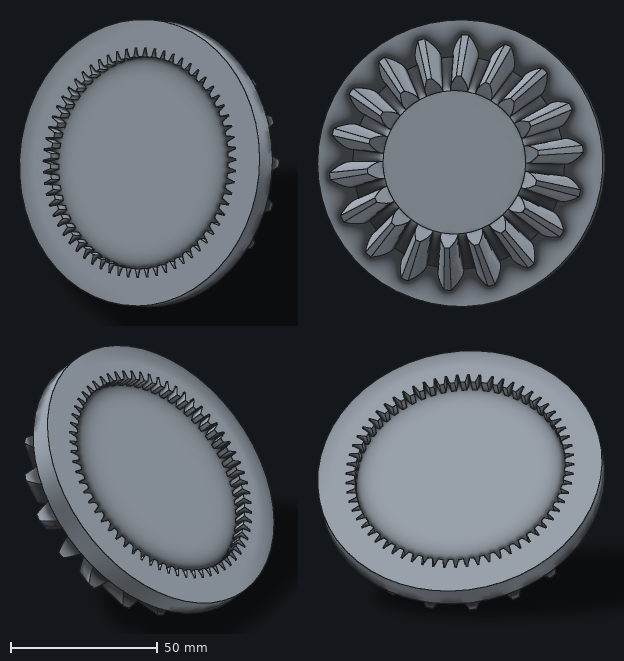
import cadquery as cq
import math

SIDE_TILT = 1.2
FRONT_TILT = 45.0

OVERALL_WIDTH = 98.15
DISC_THICKNESS = 8.0
RING_NOTCHES = 63
RING_PITCH_ANGLE = 5.7
RING_FIRST_NOTCH = 88.5
RING_TIP_RADIUS = 36.2
RING_ROOT_RADIUS = 39.3
RING_DEPTH = 5.1
NOTCH_MOUTH_WIDTH = 2.0
NOTCH_ROOT_WIDTH = 0.5

GEAR_TEETH = 18
GEAR_PHASE = 1.2
PITCH_CONE_ANGLE = math.radians(45)
PITCH_RADIUS = 39.75
APEX_DEPTH = 56.0
ADDENDUM = 5.6
DEDENDUM = 4.8
FACE_WIDTH = 18.4
PRESSURE_ANGLE = math.radians(20)
GAP_NARROWING = 0.34
FLANK_POINTS = 6
GAP_OVERRUN = 0.1
GAP_CLEARANCE = 1.7

TILT_ANGLE = math.radians(SIDE_TILT)
DISC_DIAMETER = (OVERALL_WIDTH - DISC_THICKNESS * math.sin(TILT_ANGLE)) / math.cos(TILT_ANGLE)

CONE_DISTANCE = PITCH_RADIUS / math.sin(PITCH_CONE_ANGLE)
INNER_SCALE = (CONE_DISTANCE - FACE_WIDTH) / CONE_DISTANCE
VIRTUAL_RADIUS = PITCH_RADIUS / math.cos(PITCH_CONE_ANGLE)
VIRTUAL_TEETH = GEAR_TEETH / math.cos(PITCH_CONE_ANGLE)
BASE_RADIUS = VIRTUAL_RADIUS * math.cos(PRESSURE_ANGLE)
BACK_APEX_HEIGHT = CONE_DISTANCE / math.cos(PITCH_CONE_ANGLE)
ROOT_DISTANCE = VIRTUAL_RADIUS - DEDENDUM
TIP_DISTANCE = VIRTUAL_RADIUS + ADDENDUM
GAP_TOP = TIP_DISTANCE + GAP_CLEARANCE


def copies_about_axis(solid, count, first_angle, step_angle):
    """Copies of a solid turned about the gear axis, which is Z before the tilts."""
    axis_start = cq.Vector(0, 0, 0)
    axis_end = cq.Vector(0, 0, 1)
    return [solid.rotate(axis_start, axis_end, first_angle + i * step_angle) for i in range(count)]


def make_disc():
    """Disc with the round pocket and its ring of tapered notches."""
    disc = cq.Workplane("XY").circle(DISC_DIAMETER / 2).extrude(-DISC_THICKNESS)
    pocket = cq.Workplane("XY").circle(RING_TIP_RADIUS).extrude(-RING_DEPTH)

    half_mouth = NOTCH_MOUTH_WIDTH / 2
    half_root = NOTCH_ROOT_WIDTH / 2
    pocket_overlap = RING_TIP_RADIUS - half_mouth
    notch = (
        cq.Workplane("XY")
        .polyline([
            (pocket_overlap, -half_mouth),
            (RING_TIP_RADIUS, -half_mouth),
            (RING_ROOT_RADIUS, -half_root),
            (RING_ROOT_RADIUS, half_root),
            (RING_TIP_RADIUS, half_mouth),
            (pocket_overlap, half_mouth),
        ])
        .close()
        .extrude(-RING_DEPTH)
    )
    notches = copies_about_axis(notch.val(), RING_NOTCHES, RING_FIRST_NOTCH, RING_PITCH_ANGLE)
    return disc.val().cut(pocket.val(), *notches)


def back_cone_point(distance, scale=1.0):
    """Radius and height of the point at a given distance from the back cone's own apex."""
    radius = distance * math.cos(PITCH_CONE_ANGLE)
    height = BACK_APEX_HEIGHT - distance * math.sin(PITCH_CONE_ANGLE)
    return radius * scale, height * scale - APEX_DEPTH


def make_blank():
    """Toothless gear body: back cone, tip cone, front cone and a flat hub end at root level."""
    tip_radius, tip_height = back_cone_point(TIP_DISTANCE)
    rise_to_disc = -DISC_THICKNESS - tip_height
    neck_radius = tip_radius - rise_to_disc / math.tan(PITCH_CONE_ANGLE)
    hub_radius, hub_height = back_cone_point(ROOT_DISTANCE, INNER_SCALE)
    return (
        cq.Workplane("XZ")
        .polyline([
            (0, -DISC_THICKNESS),
            (neck_radius, -DISC_THICKNESS),
            (tip_radius, tip_height),
            back_cone_point(TIP_DISTANCE, INNER_SCALE),
            (hub_radius, hub_height),
            (0, hub_height),
        ])
        .close()
        .revolve(360, (0, 0, 0), (0, 1, 0))
        .val()
    )


def involute(angle):
    return math.tan(angle) - angle


def half_gap_angle(distance):
    """Half of the gap between two teeth of the virtual spur gear; radial below its base circle."""
    roll = math.acos(min(1.0, BASE_RADIUS / distance))
    return math.pi / (2 * VIRTUAL_TEETH) - involute(PRESSURE_ANGLE) + involute(roll)


def gap_outline(scale):
    """Outline of one tooth gap, square to the pitch cone and shrunk towards its apex."""
    plane = cq.Plane(
        origin=(0, 0, BACK_APEX_HEIGHT * scale - APEX_DEPTH),
        xDir=(math.cos(PITCH_CONE_ANGLE), 0, -math.sin(PITCH_CONE_ANGLE)),
        normal=(math.sin(PITCH_CONE_ANGLE), 0, math.cos(PITCH_CONE_ANGLE)),
    )
    step = (GAP_TOP - ROOT_DISTANCE) / (FLANK_POINTS - 1)
    flank = []
    for i in range(FLANK_POINTS):
        distance = ROOT_DISTANCE + i * step
        angle = half_gap_angle(distance)
        along = distance * math.cos(angle)
        across = distance * math.sin(angle) - GAP_NARROWING
        flank.append((scale * along, scale * across))
    far_flank = [(along, -across) for along, across in reversed(flank)]
    return (
        cq.Workplane(plane)
        .moveTo(*flank[0])
        .spline(flank[1:], includeCurrent=True)
        .lineTo(*far_flank[0])
        .spline(far_flank[1:], includeCurrent=True)
        .close()
        .val()
    )


def make_bevel_gear():
    """Gear body with the tapering gaps cut between its teeth."""
    outer_outline = gap_outline(1 + GAP_OVERRUN)
    inner_outline = gap_outline(INNER_SCALE - GAP_OVERRUN)
    gap = cq.Solid.makeLoft([outer_outline, inner_outline], True)
    tooth_pitch = 360 / GEAR_TEETH
    gaps = copies_about_axis(gap, GEAR_TEETH, GEAR_PHASE + tooth_pitch / 2, tooth_pitch)
    return make_blank().cut(*gaps)


upright = cq.Workplane(make_disc()).union(cq.Workplane(make_bevel_gear()))
result = (
    upright
    .rotate((0, 0, 0), (0, 1, 0), SIDE_TILT)
    .rotate((0, 0, 0), (1, 0, 0), FRONT_TILT)
    .solids()
)